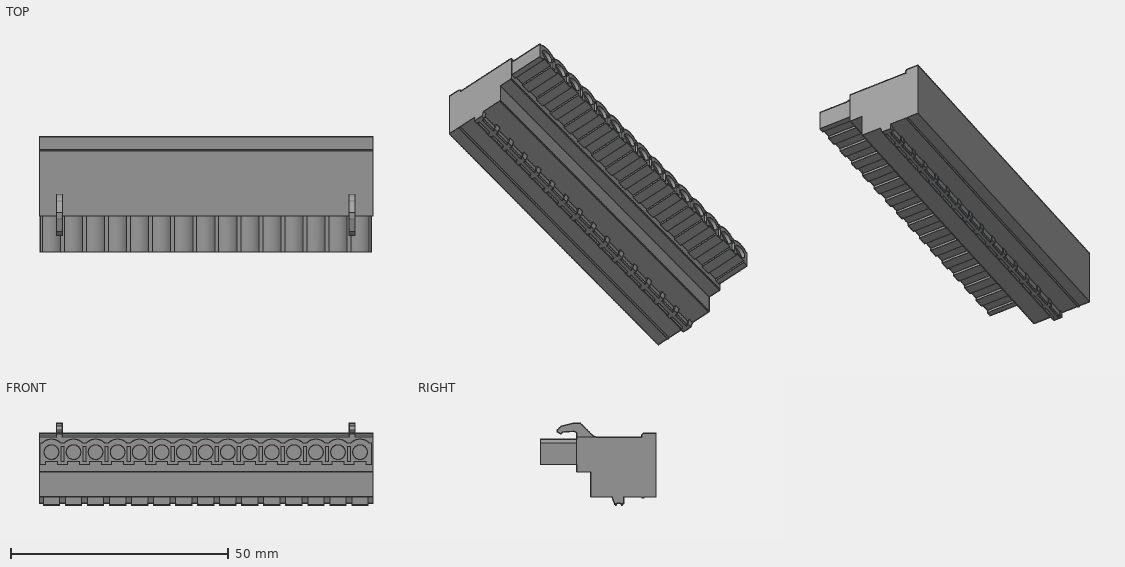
import cadquery as cq
import math


housing_width = 76.8
deck_depth = 18.3
deck_height = 13.8
lip_depth = 3.3
lip_rise = 0.9
lip_chamfer = 0.4
foot_depth = 15.05
step_height = 5.75
edge_chamfer = 0.19
bead_depth = 3.0
bead_radius = 0.2

pole_count = 15
pole_pitch = 5.1
row_shift = -0.115

nose_width = 76.2
nose_length = 8.3
nose_bottom = 7.5
nose_shoulder = 12.5
entry_height = 10.4
crown_radius = 3.0
entry_radius = 1.7
recess_depth = 0.9
slot_width = 0.8
slot_top = 11.7
notch_width = 2.7
notch_height = 0.7

hook_spacing = 67.3
hook_width = 1.4
hook_start = 13.4
hook_foot_radius = 2.0
hook_top = 17.05
hook_slope = math.radians(45)
hook_crest_end = 19.0
hook_beak = [
    (21.8, 16.4),
    (22.75, 15.45),
    (22.75, 15.05),
    (21.9, 14.5),
    (21.4, 15.0),
    (18.8, 15.1),
    (deck_depth, 14.8),
]
hook_root = 0.9

tooth_width = 3.8
tooth_back = 7.6
tooth_front = 9.5
tooth_body_height = 1.4
tooth_height = 1.9
prong_width = 0.5
prong_edge_height = 0.2
prong_tip_offset = 0.3
rib_back = 7.4
rib_front_top = 10.15
rib_front_bottom = 9.6

pole_positions = [row_shift + pole_pitch * (i - (pole_count - 1) / 2) for i in range(pole_count)]
gap_positions = [x + pole_pitch / 2 for x in pole_positions[:-1]]


def side_profile(points):
    """Closed outline in the YZ plane from (depth behind the back face, height) pairs."""
    return cq.Workplane("YZ").polyline([(-depth, z) for depth, z in points]).close()


def extrude_between(profile, left, right):
    return profile.extrude(right - left).translate((left, 0, 0))


def box_between(left, right, back, front, bottom, top):
    box = cq.Workplane("XY").box(right - left, front - back, top - bottom, centered=False)
    return box.translate((left, -front, bottom))


def make_housing():
    """Stepped body with a raised lip at the back and a bead underneath."""
    lip_top = deck_height + lip_rise
    outline = side_profile([
        (0, 0),
        (0, lip_top),
        (lip_depth - lip_chamfer, lip_top),
        (lip_depth, lip_top - lip_chamfer),
        (lip_depth, deck_height),
        (deck_depth, deck_height),
        (deck_depth, step_height + edge_chamfer),
        (deck_depth - edge_chamfer, step_height),
        (foot_depth, step_height),
        (foot_depth, edge_chamfer),
        (foot_depth - edge_chamfer, 0),
    ])
    left, right = -housing_width / 2, housing_width / 2
    bead = cq.Workplane("YZ").center(-bead_depth, 0).circle(bead_radius)
    return extrude_between(outline, left, right).union(extrude_between(bead, left, right))


def make_nose():
    """Crowned front bar with a round wire entry per pole, slots between poles and notches below."""
    left, right = row_shift - nose_width / 2, row_shift + nose_width / 2
    front = deck_depth + nose_length
    notch_top = nose_bottom + notch_height
    recess_floor = front - recess_depth

    crown_half_width = math.sqrt(crown_radius**2 - (nose_shoulder - entry_height) ** 2)
    front_plane = cq.Workplane("XZ", origin=(0, -front, 0))
    outline = front_plane.moveTo(left, nose_bottom).lineTo(left, nose_shoulder)
    for x in pole_positions:
        outline = outline.lineTo(x - crown_half_width, nose_shoulder)
        outline = outline.threePointArc(
            (x, entry_height + crown_radius), (x + crown_half_width, nose_shoulder))
    outline = outline.lineTo(right, nose_shoulder).lineTo(right, nose_bottom).close()
    nose = outline.extrude(-nose_length)

    centers = [(x, entry_height) for x in pole_positions]
    nose = nose.cut(front_plane.pushPoints(centers).circle(entry_radius).extrude(-recess_depth))
    for x in gap_positions:
        nose = nose.cut(box_between(
            x - slot_width / 2, x + slot_width / 2, recess_floor, front, notch_top, slot_top))
    for x in pole_positions:
        nose = nose.cut(box_between(
            x - notch_width / 2, x + notch_width / 2, deck_depth, front, nose_bottom, notch_top))
    return nose


def make_hook(x):
    """Latch rising from the deck on a rounded foot and overhanging the nose."""
    def foot_arc_point(angle):
        depth = hook_start + hook_foot_radius * math.sin(angle)
        return -depth, deck_height + hook_foot_radius * (1 - math.cos(angle))

    foot_end_y, foot_end_z = foot_arc_point(hook_slope)
    peak_y = foot_end_y - (hook_top - foot_end_z) / math.tan(hook_slope)
    profile = (
        cq.Workplane("YZ")
        .moveTo(-hook_start, deck_height)
        .threePointArc(foot_arc_point(hook_slope / 2), (foot_end_y, foot_end_z))
        .lineTo(peak_y, hook_top)
        .lineTo(-hook_crest_end, hook_top)
    )
    for depth, z in hook_beak:
        profile = profile.lineTo(-depth, z)
    root_z = deck_height - hook_root
    profile = profile.lineTo(-deck_depth, root_z).lineTo(-hook_start, root_z).close()
    return extrude_between(profile, x - hook_width / 2, x + hook_width / 2)


def make_tooth(x):
    """Block with two downward prongs, each bevelled on its outer side."""
    body = -tooth_body_height
    edge = body - prong_edge_height
    profile = side_profile([
        (tooth_back, 0),
        (tooth_back, edge),
        (tooth_back + prong_tip_offset, -tooth_height),
        (tooth_back + prong_width, body),
        (tooth_front - prong_width, body),
        (tooth_front - prong_tip_offset, -tooth_height),
        (tooth_front, edge),
        (tooth_front, 0),
    ])
    return extrude_between(profile, x - tooth_width / 2, x + tooth_width / 2)


def make_rib(left, right):
    """Filler between the teeth, with a sloping front."""
    profile = side_profile([
        (rib_back, 0),
        (rib_front_top, 0),
        (rib_front_bottom, -tooth_body_height),
        (rib_back, -tooth_body_height),
    ])
    return extrude_between(profile, left, right)


result = make_housing().union(make_nose())

for side in (-1, 1):
    result = result.union(make_hook(row_shift + side * hook_spacing / 2))

rib_left = -housing_width / 2
for x in pole_positions:
    result = result.union(make_rib(rib_left, x - tooth_width / 2)).union(make_tooth(x))
    rib_left = x + tooth_width / 2
result = result.union(make_rib(rib_left, housing_width / 2))